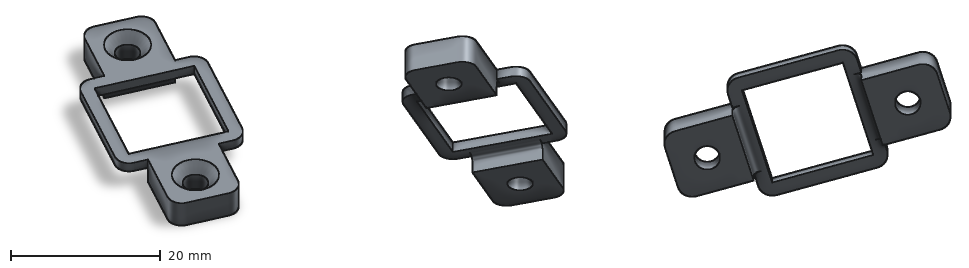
import cadquery as cq

length = 38.0
height = 4.0
corner_radius = 2.0

frame_side = 18.0
frame_thickness = 1.5
window_side = 14.1

tab_width = 10.0
tab_length = (length - frame_side) / 2
root_fillet = 1.0

hole_spacing = length - tab_length
hole_diameter = 3.42
countersink_diameter = 6.3
countersink_angle = 90.0

frame_bottom = height - frame_thickness


def make_frame():
    """Rounded square plate, flush with the top face of the tabs."""
    return (
        cq.Workplane("XY", origin=(0, 0, frame_bottom))
        .rect(frame_side, frame_side)
        .extrude(frame_thickness)
        .edges("|Z")
        .fillet(corner_radius)
    )


def make_tab(side):
    """Full-height tab on the +X (side=1) or -X (side=-1) end."""
    center_x = side * (frame_side + tab_length) / 2
    outer_edges = "|Z and >X" if side > 0 else "|Z and <X"
    return (
        cq.Workplane("XY", origin=(center_x, 0, 0))
        .rect(tab_length, tab_width)
        .extrude(height)
        .edges(outer_edges)
        .fillet(corner_radius)
    )


def make_root_fillet(side):
    """Concave blend between a tab's inner face and the frame underside."""
    tab_face = side * frame_side / 2
    inner_end = tab_face - side * root_fillet
    return (
        cq.Workplane("XZ")
        .moveTo(tab_face, frame_bottom)
        .lineTo(tab_face, frame_bottom - root_fillet)
        .radiusArc((inner_end, frame_bottom), -side * root_fillet)
        .close()
        .extrude(tab_width / 2, both=True)
    )


body = make_frame()
for side in (-1, 1):
    body = body.union(make_tab(side)).union(make_root_fillet(side))

window = cq.Workplane("XY").rect(window_side, window_side).extrude(height)
body = body.cut(window)

result = (
    body.faces(">Z")
    .workplane(origin=(0, 0, height))
    .pushPoints([(-hole_spacing / 2, 0), (hole_spacing / 2, 0)])
    .cskHole(hole_diameter, countersink_diameter, countersink_angle)
)